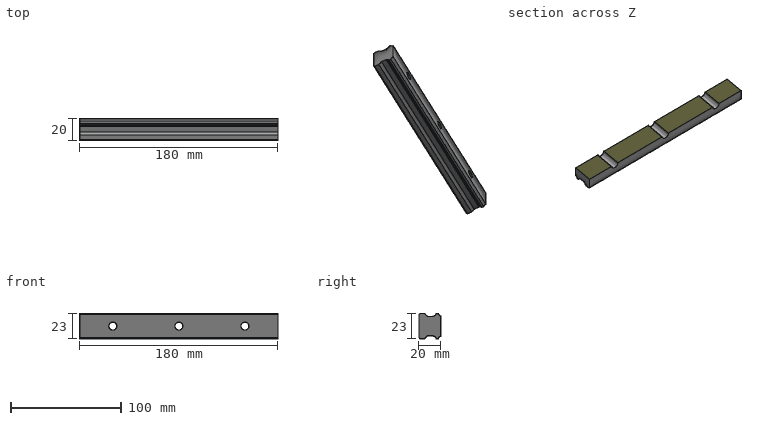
import cadquery as cq

length = 180.0
width = 20.0
height = 23.0

corner_track_width = 2.3
corner_track_depth = 2.2
corner_track_radius = 2.5
front_chamfer = 1.0

groove_depth = 2.7
ledge_depth = 2.2
ball_track_start = 4.3
ball_track_end = 6.0
ball_track_radius = 3.2
ledge_end = 6.7
floor_start = ledge_end + groove_depth - ledge_depth
floor_end = 12.0
groove_end = floor_end + groove_depth

hole_diameter = 7.0
hole_pitch = 60.0
hole_count = 3

back = width / 2
top = height / 2


def rail_half():
    """Upper half of the rail, from mid-height to the top face."""
    profile = (
        cq.Workplane("YZ")
        .moveTo(back, 0)
        .lineTo(back, top - corner_track_depth)
        .radiusArc((back - corner_track_width, top), corner_track_radius)
        .lineTo(back - ball_track_start, top)
        .radiusArc((back - ball_track_end, top - ledge_depth), ball_track_radius)
        .lineTo(back - ledge_end, top - ledge_depth)
        .lineTo(back - floor_start, top - groove_depth)
        .lineTo(back - floor_end, top - groove_depth)
        .lineTo(back - groove_end, top)
        .lineTo(front_chamfer - back, top)
        .lineTo(-back, top - front_chamfer)
        .lineTo(-back, 0)
        .close()
    )
    return profile.extrude(length / 2, both=True)


def mounting_holes():
    """Row of cylinders centred on the rail, along Y."""
    return (
        cq.Workplane("XZ")
        .rarray(hole_pitch, 1.8, hole_count, 1)
        .circle(hole_diameter / 2)
        .extrude(width, both=True)
    )


upper_half = rail_half()
rail = upper_half.union(upper_half.mirror("XY")).clean()
result = rail.cut(mounting_holes())